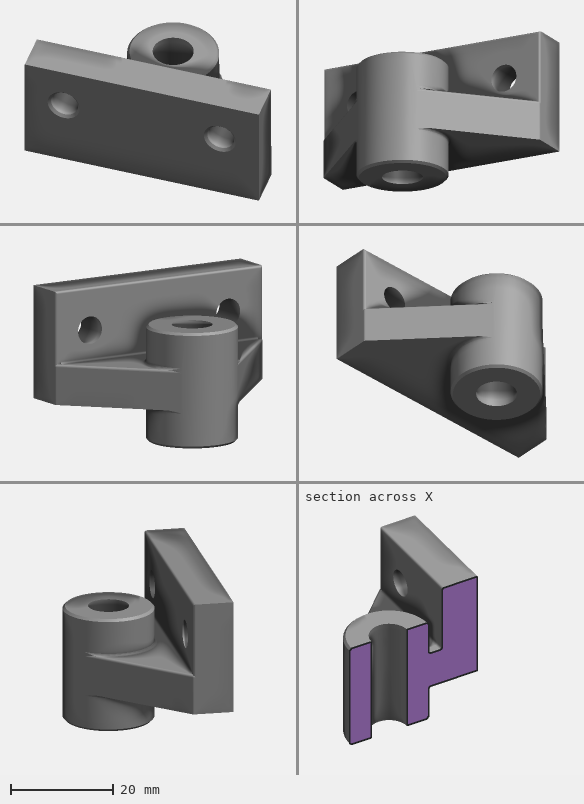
import cadquery as cq
import math

plate_length = 48.0
plate_thickness = 8.0
plate_height = 22.5

overall_depth = 29.0
boss_diameter = 18.0
boss_radius = boss_diameter / 2
boss_y = overall_depth - boss_radius
boss_drop = 7.5
boss_height = 23.0
bore_diameter = 8.0
web_thickness = 8.0

hole_spacing = 32.0
hole_z = 14.0
hole_diameter = 5.5
countersink_diameter = 6.6
hole_chamfer = (countersink_diameter - hole_diameter) / 2

edge_size = 0.5
strip_end_gap = 1.2


def make_web():
    """Web from the rear plate corners, tangent to the boss."""
    half_length = plate_length / 2
    center_offset = boss_y - plate_thickness
    corner_distance = math.hypot(half_length, center_offset)
    tangent_angle = math.acos(boss_radius / corner_distance) - math.atan2(center_offset, half_length)
    tangent_x = boss_radius * math.cos(tangent_angle)
    tangent_y = boss_y + boss_radius * math.sin(tangent_angle)
    return (
        cq.Workplane("XY")
        .moveTo(-half_length, plate_thickness)
        .lineTo(half_length, plate_thickness)
        .lineTo(tangent_x, tangent_y)
        .threePointArc((0, boss_y + boss_radius), (-tangent_x, tangent_y))
        .close()
    )


def make_lower_body():
    """Web and the plate portion beside it, with rounded corners and flank tops."""
    plate_foot = cq.Workplane("XY").box(
        plate_length, plate_thickness, web_thickness, centered=(True, False, False)
    )
    body = plate_foot.union(make_web().extrude(web_thickness))
    corners = cq.selectors.BoxSelector(
        (-plate_length, plate_thickness - edge_size, 0),
        (plate_length, plate_thickness + edge_size, web_thickness),
    )
    body = body.edges("|Z").edges(corners).fillet(edge_size)
    flank_y = (plate_thickness + boss_y) / 2
    flank_top = cq.selectors.NearestToPointSelector((plate_length / 3, flank_y, web_thickness))
    return body.faces(">Z").edges(flank_top).fillet(edge_size)


def make_upper_plate():
    """Plate portion above the web, rounded along its rear top and side edges."""
    base_z = web_thickness - edge_size
    return (
        cq.Workplane("XY", origin=(0, 0, base_z))
        .box(plate_length, plate_thickness, plate_height - base_z, centered=(True, False, False))
        .faces(">Y")
        .edges("not <Z")
        .fillet(edge_size)
    )


def make_plate_fillet():
    """Concave strip along the inner corner between plate and web, stopping short of the plate ends."""
    strip_length = plate_length - 2 * strip_end_gap
    arc_offset = edge_size * (1 - math.sqrt(0.5))
    return (
        cq.Workplane("YZ", origin=(-strip_length / 2, 0, 0))
        .moveTo(plate_thickness - edge_size, web_thickness - edge_size)
        .lineTo(plate_thickness + edge_size, web_thickness - edge_size)
        .lineTo(plate_thickness + edge_size, web_thickness)
        .threePointArc(
            (plate_thickness + arc_offset, web_thickness + arc_offset),
            (plate_thickness, web_thickness + edge_size),
        )
        .lineTo(plate_thickness - edge_size, web_thickness + edge_size)
        .close()
        .extrude(strip_length)
    )


def make_boss():
    """Boss cylinder with chamfered rims."""
    return (
        cq.Workplane("XY", origin=(0, boss_y, -boss_drop))
        .circle(boss_radius)
        .extrude(boss_height)
        .edges()
        .chamfer(edge_size)
    )


def make_root_fillet(face_z, direction):
    """Concave ring joining the boss to a web face, trimmed to the web outline."""
    tip_z = face_z + direction * edge_size
    outer_radius = boss_radius + edge_size
    arc_depth = edge_size * (1 - math.sqrt(0.5))
    ring = (
        cq.Workplane("XZ", origin=(0, boss_y, 0))
        .moveTo(0, face_z)
        .lineTo(outer_radius, face_z)
        .threePointArc((boss_radius + arc_depth, face_z + direction * arc_depth), (boss_radius, tip_z))
        .lineTo(0, tip_z)
        .close()
        .revolve(360, (0, 0, 0), (0, 1, 0))
    )
    outline = make_web().extrude(direction * edge_size).translate((0, 0, face_z))
    return ring.intersect(outline)


def cut_holes(body):
    """Bore the boss and drill the two screw holes, countersunk at the front."""
    bore = (
        cq.Workplane("XY", origin=(0, boss_y, -boss_drop))
        .circle(bore_diameter / 2)
        .extrude(boss_height)
    )
    body = body.cut(bore)
    for side in (-1, 1):
        center = (side * hole_spacing / 2, 0, hole_z)
        screw_hole = (
            cq.Workplane("XZ", origin=center).circle(hole_diameter / 2).extrude(-plate_thickness)
        )
        countersink = cq.Workplane(
            cq.Solid.makeCone(
                countersink_diameter / 2,
                hole_diameter / 2,
                hole_chamfer,
                cq.Vector(*center),
                cq.Vector(0, 1, 0),
            )
        )
        body = body.cut(screw_hole).cut(countersink)
    return body


bracket = make_lower_body().union(make_upper_plate()).union(make_plate_fillet())
bracket = bracket.union(make_boss())
bracket = bracket.union(make_root_fillet(web_thickness, 1))
bracket = bracket.union(make_root_fillet(0, -1))
result = cut_holes(bracket)